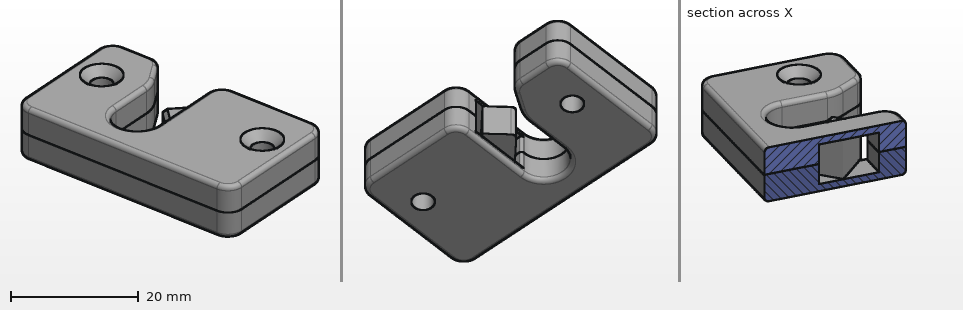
import cadquery as cq
import math

LENGTH = 42.9
WIDTH = 24.23
THICKNESS = 9.55
CORNER_R = 2.75
RIM_R = 0.8

SLOT_LEFT = -8.1
SLOT_R = 4.15
SLOT_END_Y = -3.35
MOUTH_X = -13.2
MOUTH_ANGLE = 60.0
MOUTH_BLEND_R = 6.0

HOLE_X = 15.9
HOLE_Y = 3.0
HOLE_D = 3.7
SINK_D = 6.85
SINK_ANGLE = 90.0

LATCH_TIP_X = -4.0
LATCH_TIP_Y = HOLE_Y
LATCH_TURN = -45.0
LATCH_LENGTH = 7.55
LATCH_WIDTH = 5.27
LATCH_HEIGHT = 6.85
LATCH_BEVEL = 0.77
LATCH_TIP_R = 0.8

POCKET_TOP_Y = 7.45
POCKET_BOTTOM_Y = -2.75
JAMB_R = 0.45

HALF_LENGTH = LENGTH / 2
HALF_WIDTH = WIDTH / 2
HALF_THICKNESS = THICKNESS / 2
SLOT_RIGHT = SLOT_LEFT + 2 * SLOT_R
POCKET_BACK_X = (
    LATCH_TIP_X
    + LATCH_LENGTH * math.cos(math.radians(LATCH_TURN))
    - LATCH_WIDTH * math.sin(math.radians(LATCH_TURN))
)


def on_circle(centre, radius, degrees):
    """Point on a circle at the given angle from +X."""
    angle = math.radians(degrees)
    return (centre[0] + radius * math.cos(angle), centre[1] + radius * math.sin(angle))


def housing_outline():
    """Closed outline of the housing with its slot, as a sketch on the XY plane."""
    flank_normal = 90 - MOUTH_ANGLE
    shoulder = (MOUTH_X, HALF_WIDTH - CORNER_R)
    flank_start = on_circle(shoulder, CORNER_R, flank_normal)

    blend_x = SLOT_LEFT - MOUTH_BLEND_R
    flank_end_x = blend_x + MOUTH_BLEND_R * math.cos(math.radians(flank_normal))
    drop = (flank_end_x - flank_start[0]) * math.tan(math.radians(MOUTH_ANGLE))
    flank_end_y = flank_start[1] - drop
    blend = (blend_x, flank_end_y - MOUTH_BLEND_R * math.sin(math.radians(flank_normal)))

    right_lobe = (SLOT_RIGHT + CORNER_R, HALF_WIDTH - CORNER_R)
    right_top = (HALF_LENGTH - CORNER_R, HALF_WIDTH - CORNER_R)
    right_bottom = (HALF_LENGTH - CORNER_R, CORNER_R - HALF_WIDTH)
    left_bottom = (CORNER_R - HALF_LENGTH, CORNER_R - HALF_WIDTH)
    left_top = (CORNER_R - HALF_LENGTH, HALF_WIDTH - CORNER_R)
    slot_end = (SLOT_LEFT + SLOT_R, SLOT_END_Y)

    arcs = [
        (shoulder, CORNER_R, 90, flank_normal),
        (blend, MOUTH_BLEND_R, flank_normal, 0),
        (slot_end, SLOT_R, 180, 360),
        (right_lobe, CORNER_R, 180, 90),
        (right_top, CORNER_R, 90, 0),
        (right_bottom, CORNER_R, 0, -90),
        (left_bottom, CORNER_R, 270, 180),
        (left_top, CORNER_R, 180, 90),
    ]
    outline = cq.Workplane("XY").moveTo(*on_circle(left_top, CORNER_R, 90))
    for centre, radius, start, end in arcs:
        middle = on_circle(centre, radius, (start + end) / 2)
        outline = outline.lineTo(*on_circle(centre, radius, start))
        outline = outline.threePointArc(middle, on_circle(centre, radius, end))
    return outline.close()


def make_latch():
    """Latch bar with a rounded tip and bevelled flanks, as high as its pocket."""
    bar = cq.Workplane("XY").box(LATCH_LENGTH, LATCH_WIDTH, LATCH_HEIGHT, centered=(False, False, True))
    bar = bar.edges("|Z and <X and <Y").fillet(LATCH_TIP_R)
    bar = bar.faces(">Z").edges("<X").chamfer(LATCH_BEVEL)
    bar = bar.rotate((0, 0, 0), (0, 0, 1), LATCH_TURN)
    return bar.translate((LATCH_TIP_X, LATCH_TIP_Y, 0))


def latch_pocket():
    """Chamber behind the slot wall, flaring at its opening around the rounded jambs."""
    top = POCKET_TOP_Y
    bottom = POCKET_BOTTOM_Y
    jamb_x = SLOT_RIGHT + JAMB_R
    top_centre = (jamb_x, top + JAMB_R)
    bottom_centre = (jamb_x, bottom - JAMB_R)
    return (
        cq.Workplane("XY", origin=(0, 0, -LATCH_HEIGHT / 2))
        .moveTo(SLOT_RIGHT, top + JAMB_R)
        .threePointArc(on_circle(top_centre, JAMB_R, 225), (jamb_x, top))
        .lineTo(POCKET_BACK_X, top)
        .lineTo(POCKET_BACK_X, bottom)
        .lineTo(jamb_x, bottom)
        .threePointArc(on_circle(bottom_centre, JAMB_R, 135), (SLOT_RIGHT, bottom - JAMB_R))
        .close()
        .extrude(LATCH_HEIGHT)
    )


def screw_holes():
    """Through holes with countersinks in the upper face."""
    spots = [(-HOLE_X, HOLE_Y), (HOLE_X, HOLE_Y)]
    bottom_plane = cq.Workplane("XY", origin=(0, 0, -HALF_THICKNESS))
    holes = bottom_plane.pushPoints(spots).circle(HOLE_D / 2).extrude(THICKNESS)
    sink_depth = (SINK_D - HOLE_D) / 2 / math.tan(math.radians(SINK_ANGLE / 2))
    for x, y in spots:
        cone = cq.Solid.makeCone(
            SINK_D / 2, HOLE_D / 2, sink_depth, cq.Vector(x, y, HALF_THICKNESS), cq.Vector(0, 0, -1)
        )
        holes = holes.union(cq.Workplane(obj=cone))
    return holes


def make_shell(rim_side):
    """One half of the housing; rim_side is +1 for the cover and -1 for the base."""
    shell = housing_outline().extrude(rim_side * HALF_THICKNESS)
    rim_face = ">Z" if rim_side > 0 else "<Z"
    shell = shell.faces(rim_face).edges().fillet(RIM_R)
    return shell.cut(latch_pocket()).cut(screw_holes())


cover = make_shell(1)
base = make_shell(-1)
latch = make_latch()

result = cq.Compound.makeCompound([cover.val(), base.val(), latch.val()])